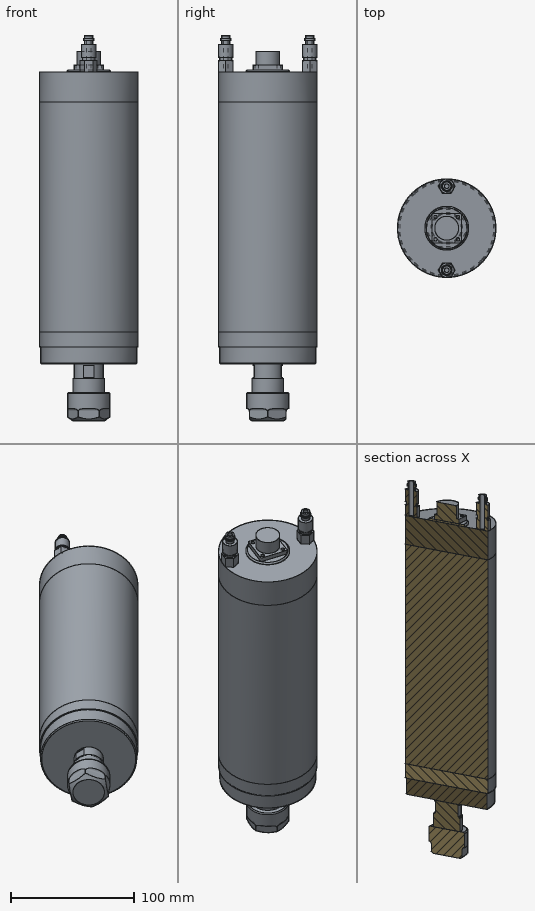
import cadquery as cq
import math

NUT_TOP = 23.2
SHAFT_STEP = 34.5
SHAFT_TOP = 46.0
NOSE_TOP = 60.0
FRONT_RING_TOP = 72.3
TUBE_TOP = 259.2
CAP_TOP = 283.5
TOTAL_HEIGHT = 313.0

BODY_DIAMETER = 80.0
NOSE_DIAMETER = 78.2
NOSE_CHAMFER = 1.0

SHAFT_DIAMETER = 25.7
SHAFT_NECK_DIAMETER = 23.8
WRENCH_FLAT_WIDTH = 22.2
WRENCH_FLAT_BOTTOM = 35.5
WRENCH_FLAT_TOP = 45.0

NUT_RADIUS = 17.2
NUT_TOP_CHAMFER = 1.0
NUT_TIP_RADIUS = 12.8
NUT_TIP_HEIGHT = 3.0
NUT_ACROSS_FLATS = 30.0
NUT_FLAT_TOP = 7.8

DISC_DIAMETER = 35.7
DISC_HEIGHT = 1.5
DISC_CHAMFER = 1.3
FLANGE_SIDE = 23.8
FLANGE_HEIGHT = 3.8
FLANGE_CORNER_RADIUS = 1.0
FLANGE_HOLE_DIAMETER = 2.8
FLANGE_HOLE_SPACING = 18.0
PLUG_DIAMETER = 19.5
PLUG_TOP = 300.2

FITTING_DIAMETER = 12.0
FITTING_Y = (BODY_DIAMETER - FITTING_DIAMETER) / 2
FITTING_NECK_DIAMETER = 10.0
FITTING_BORE_DIAMETER = 3.8
BARB_STEM_DIAMETER = 7.0
BARB_DIAMETER = 8.5
HEX_TOP = 292.5
FITTING_NECK_TOP = 295.2
FITTING_COLLAR_TOP = 305.8
BARB_BOTTOM = 309.0
BARB_TOP = 310.5


def cylinder(diameter, bottom, top):
    return cq.Workplane("XY").workplane(offset=bottom).circle(diameter / 2).extrude(top - bottom)


def make_collet_nut():
    nut = (
        cq.Workplane("XZ")
        .moveTo(0, 0)
        .lineTo(NUT_TIP_RADIUS, 0)
        .lineTo(NUT_RADIUS, NUT_TIP_HEIGHT)
        .lineTo(NUT_RADIUS, NUT_TOP - NUT_TOP_CHAMFER)
        .lineTo(NUT_RADIUS - NUT_TOP_CHAMFER, NUT_TOP)
        .lineTo(0, NUT_TOP)
        .close()
        .revolve(360, (0, 0), (0, 1))
    )
    apothem = NUT_ACROSS_FLATS / 2
    runout = NUT_RADIUS - apothem
    cutter = (
        cq.Workplane("XZ")
        .moveTo(apothem, 0)
        .lineTo(apothem, NUT_FLAT_TOP)
        .radiusArc((NUT_RADIUS, NUT_FLAT_TOP + runout), runout)
        .lineTo(NUT_RADIUS, 0)
        .close()
        .extrude(NUT_RADIUS, both=True)
    )
    for index in range(6):
        nut = nut.cut(cutter.rotate((0, 0, 0), (0, 0, 1), 30 + 60 * index))
    return nut


def make_shaft():
    shaft = cylinder(SHAFT_DIAMETER, NUT_TOP, SHAFT_STEP)
    shaft = shaft.union(cylinder(SHAFT_NECK_DIAMETER, SHAFT_STEP, SHAFT_TOP))
    flat_height = WRENCH_FLAT_TOP - WRENCH_FLAT_BOTTOM
    for side in (-1, 1):
        cutter = cq.Workplane("XY").box(SHAFT_DIAMETER, SHAFT_DIAMETER, flat_height)
        cutter_y = side * (WRENCH_FLAT_WIDTH + SHAFT_DIAMETER) / 2
        shaft = shaft.cut(cutter.translate((0, cutter_y, WRENCH_FLAT_BOTTOM + flat_height / 2)))
    return shaft


def make_nose():
    return cylinder(NOSE_DIAMETER, SHAFT_TOP, NOSE_TOP).faces("<Z").chamfer(NOSE_CHAMFER)


def make_connector_disc():
    return cylinder(DISC_DIAMETER, CAP_TOP, CAP_TOP + DISC_HEIGHT).faces(">Z").chamfer(DISC_CHAMFER)


def make_connector():
    flange_bottom = CAP_TOP + DISC_HEIGHT
    flange = (
        cq.Workplane("XY")
        .workplane(offset=flange_bottom)
        .rect(FLANGE_SIDE, FLANGE_SIDE)
        .extrude(FLANGE_HEIGHT)
        .edges("|Z")
        .fillet(FLANGE_CORNER_RADIUS)
        .faces(">Z")
        .workplane()
        .rect(FLANGE_HOLE_SPACING, FLANGE_HOLE_SPACING, forConstruction=True)
        .vertices()
        .hole(FLANGE_HOLE_DIAMETER)
    )
    return flange.union(cylinder(PLUG_DIAMETER, flange_bottom + FLANGE_HEIGHT, PLUG_TOP))


def make_hose_fitting(y):
    corner_circle = FITTING_DIAMETER / math.cos(math.radians(30))
    fitting = (
        cq.Workplane("XY")
        .workplane(offset=CAP_TOP)
        .polygon(6, corner_circle)
        .extrude(HEX_TOP - CAP_TOP)
        .union(cylinder(FITTING_NECK_DIAMETER, HEX_TOP, FITTING_NECK_TOP))
        .union(cylinder(FITTING_DIAMETER, FITTING_NECK_TOP, FITTING_COLLAR_TOP))
        .union(cylinder(BARB_STEM_DIAMETER, FITTING_COLLAR_TOP, TOTAL_HEIGHT))
        .union(cylinder(BARB_DIAMETER, BARB_BOTTOM, BARB_TOP))
        .cut(cylinder(FITTING_BORE_DIAMETER, CAP_TOP, TOTAL_HEIGHT))
    )
    return fitting.translate((0, y, 0))


collet_nut = make_collet_nut()
shaft = make_shaft()
nose = make_nose()
front_ring = cylinder(BODY_DIAMETER, NOSE_TOP, FRONT_RING_TOP)
tube = cylinder(BODY_DIAMETER, FRONT_RING_TOP, TUBE_TOP)
cap = cylinder(BODY_DIAMETER, TUBE_TOP, CAP_TOP)
connector_disc = make_connector_disc()
connector = make_connector()
hose_fittings = [make_hose_fitting(side * FITTING_Y) for side in (-1, 1)]

result = cq.Compound.makeCompound(
    [
        collet_nut.val(),
        shaft.val(),
        nose.val(),
        front_ring.val(),
        tube.val(),
        cap.val(),
        connector_disc.val(),
        connector.val(),
        *[fitting.val() for fitting in hose_fittings],
    ]
)